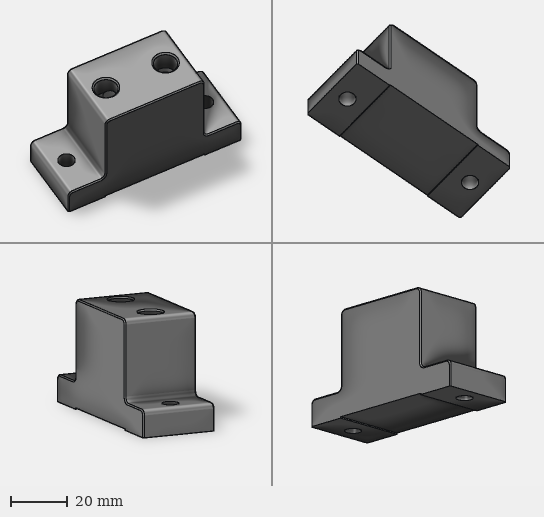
import cadquery as cq
import math

length = 70.0
width = 28.0
height = 40.0
block_length = 40.05
foot_height = 10.0
corner_radius = 2.0
side_chamfer = 0.5
relief_depth = 0.5

mount_hole_diameter = 6.0
mount_hole_offset = 28.0

race_radius = 16.8
hub_radius = 15.4
race_width = 19.6
race_center_height = 19.45

port_offset = 12.05
port_diameter = 8.55
port_mouth_diameter = 9.7
port_depth = 7.6
mouth_chamfer_angle = 45.0
drill_point_angle = 118.0
outlet_diameter = 6.0
pilot_diameter = 5.05
pilot_extra_depth = 0.2


def make_body():
    """Stepped block with rounded lengthwise corners and chamfered side outlines."""
    foot = cq.Workplane("XY").box(width, length, foot_height, centered=(True, True, False))
    block = cq.Workplane("XY").box(width, block_length, height, centered=(True, True, False))
    body = foot.union(block)

    above_bottom = cq.selectors.BoxSelector(
        (-width, -length, foot_height / 4), (width, length, 2 * height)
    )
    body = body.edges("|X").edges(above_bottom).fillet(corner_radius)

    return body.faces("<X or >X").edges(above_bottom).chamfer(side_chamfer)


def make_relief():
    """Shallow recess across the bottom so that only the feet touch the ground."""
    return cq.Workplane("XY").box(width, block_length, relief_depth, centered=(True, True, False))


def make_race_disc(radius):
    """Disc of the race's width around the race axis."""
    return (
        cq.Workplane("YZ", origin=(-race_width / 2, 0, 0))
        .center(0, race_center_height)
        .circle(radius)
        .extrude(race_width)
    )


def make_drill(diameter, depth):
    """Drilled hole along Z, measured from the top face, ending in a cone."""
    radius = diameter / 2
    point_length = radius / math.tan(math.radians(drill_point_angle / 2))
    return (
        cq.Workplane("XZ")
        .moveTo(0, height)
        .lineTo(radius, height)
        .lineTo(radius, height - depth)
        .lineTo(0, height - depth - point_length)
        .close()
        .revolve(360, (0, 0, 0), (0, 1, 0))
    )


def make_port():
    """Port bore with a drill-point bottom and a chamfered mouth."""
    bore = make_drill(port_diameter, port_depth)
    mouth_step = (port_mouth_diameter - port_diameter) / 2
    mouth_depth = mouth_step / math.tan(math.radians(mouth_chamfer_angle))
    mouth = cq.Workplane("XY", origin=(0, 0, height)).circle(port_mouth_diameter / 2)
    return bore.union(mouth.extrude(-mouth_depth, taper=mouth_chamfer_angle))


def make_outlet():
    """Straight hole below the rear port that opens it fully into the race."""
    outlet = cq.Workplane("XY", origin=(0, 0, height)).circle(outlet_diameter / 2)
    return outlet.extrude(race_center_height - height)


def make_pilot():
    """Slightly deeper drill point in the middle of the front port."""
    radius_step = (port_diameter - pilot_diameter) / 2
    shoulder_drop = radius_step / math.tan(math.radians(drill_point_angle / 2))
    return make_drill(pilot_diameter, port_depth + shoulder_drop + pilot_extra_depth)


mount_holes = (
    cq.Workplane("XY")
    .pushPoints([(0, -mount_hole_offset), (0, mount_hole_offset)])
    .circle(mount_hole_diameter / 2)
    .extrude(foot_height)
)
rear_port = make_port().union(make_outlet()).translate((0, port_offset, 0))
front_port = make_port().union(make_pilot()).translate((0, -port_offset, 0))

result = make_body().cut(make_relief()).cut(mount_holes)
result = result.cut(rear_port).cut(front_port)

result = result.cut(make_race_disc(race_radius)).union(make_race_disc(hub_radius))